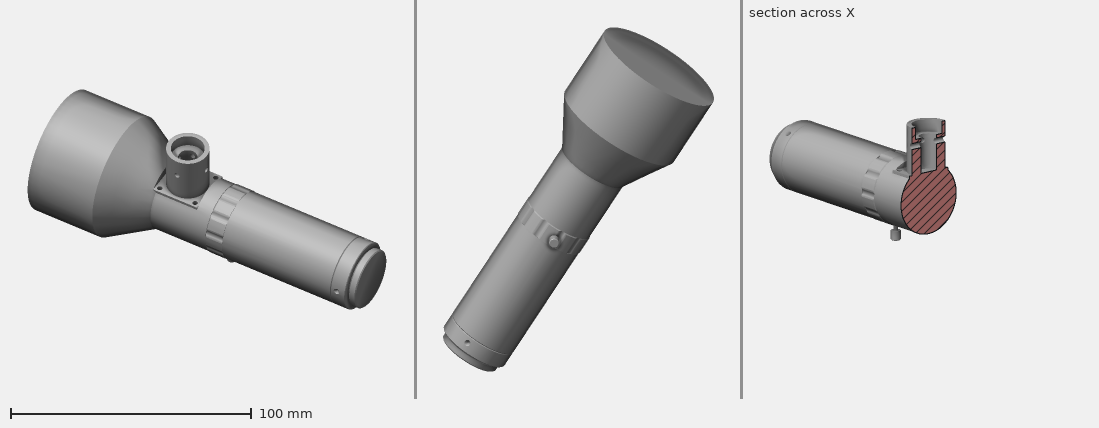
import cadquery as cq
import math

total_length = 149.4
total_height = 59.5

head_radius = 27.0
head_length = 31.1
cone_end = 52.0
tube_radius = 15.0

ring_start = 78.5
ring_width = 8.0
ring_end = ring_start + ring_width
ring_radius = 15.2
ring_chamfer = 0.5
flute_count = 11
flute_depth = 0.67
flute_radius = 2.0
flute_edge_fillet = 1.5
first_flute_angle = 15.6

cap_start = 138.6
cap_end = 145.5
cap_chamfer = 0.3
neck_radius = 12.0
neck_end = 146.4
eyepiece_radius = 13.0
eyepiece_chamfer = 0.5

set_screw_count = 3
set_screw_x = 141.5
set_screw_diameter = 2.7
set_screw_depth = 1.3
first_set_screw_angle = 7.5

seat_x = 61.3
seat_side = 21.0
seat_top = 12.0
seat_thickness = 2.2
seat_hole_spacing = 17.0
seat_hole_diameter = 2.2
seat_hole_depth = 3.0

post_top = total_height - head_radius
post_diameter = 18.1
socket_diameter = 14.0
socket_depth = 5.2
bore_diameter = 8.0
pin_hole_diameter = 2.4
pin_hole_drop = 8.0

thumb_x = ring_start + ring_width / 2
stem_diameter = 2.0
thumb_head_top = -18.2
thumb_head_diameter = 4.2
thumb_head_height = 4.2
thumb_head_chamfer = 0.3


def make_turned_body():
    """Revolve the half outline, leaving a gap in the skin for the grip ring."""
    core_radius = ring_radius - 2 * flute_depth
    outline = [
        (0, 0),
        (0, head_radius),
        (head_length, head_radius),
        (cone_end, tube_radius),
        (ring_start, tube_radius),
        (ring_start, core_radius),
        (ring_end, core_radius),
        (ring_end, tube_radius),
        (cap_start - cap_chamfer, tube_radius),
        (cap_start, tube_radius - cap_chamfer),
        (cap_start + cap_chamfer, tube_radius),
        (cap_end - cap_chamfer, tube_radius),
        (cap_end, tube_radius - cap_chamfer),
        (cap_end, neck_radius),
        (neck_end, neck_radius),
        (neck_end, eyepiece_radius),
        (total_length - eyepiece_chamfer, eyepiece_radius),
        (total_length, eyepiece_radius - eyepiece_chamfer),
        (total_length, 0),
    ]
    return cq.Workplane("XY").polyline(outline).close().revolve(360, (0, 0, 0), (1, 0, 0))


def radial_point(angle, radius):
    """Y and Z of a point around the X axis, with the angle measured from -Y toward +Z."""
    turn = math.radians(angle)
    return -radius * math.cos(turn), radius * math.sin(turn)


def make_grip_ring():
    """Flute a plain ring, round the flute edges and bevel the side toward the head."""
    flute_center_radius = ring_radius - flute_depth + flute_radius
    flute_centers = [
        radial_point(first_flute_angle + i * 360 / flute_count, flute_center_radius)
        for i in range(flute_count)
    ]
    side = cq.Workplane("YZ", origin=(ring_start, 0, 0))
    blank = side.circle(ring_radius).extrude(ring_width)
    flutes = side.pushPoints(flute_centers).circle(flute_radius).extrude(ring_width)
    ring = blank.cut(flutes).edges("|X").fillet(flute_edge_fillet)
    bevel = (
        cq.Workplane("XY")
        .polyline([
            (ring_start, 0),
            (ring_start, ring_radius - ring_chamfer),
            (ring_start + ring_chamfer, ring_radius),
            (ring_end, ring_radius),
            (ring_end, 0),
        ])
        .close()
        .revolve(360, (0, 0, 0), (1, 0, 0))
    )
    return ring.intersect(bevel)


def cut_set_screw_dimples(body):
    """Cut cones pointing at the tube axis, evenly spaced around the cap."""
    for i in range(set_screw_count):
        angle = first_set_screw_angle + i * 360 / set_screw_count
        y, z = radial_point(angle, tube_radius)
        dimple = cq.Solid.makeCone(
            set_screw_diameter / 2,
            0,
            set_screw_depth,
            cq.Vector(set_screw_x, y, z),
            cq.Vector(0, -y, -z),
        )
        body = body.cut(cq.Workplane(dimple))
    return body


def add_seat(body):
    """Clear the square above the seat, fill it to a flat plate and drill its corners."""
    top_plane = cq.Workplane("XY", origin=(seat_x, 0, seat_top))
    clearance = top_plane.rect(seat_side, seat_side).extrude(head_radius)
    plate = top_plane.rect(seat_side, seat_side).extrude(-seat_thickness)
    corner_holes = (
        top_plane.rect(seat_hole_spacing, seat_hole_spacing, forConstruction=True)
        .vertices()
        .circle(seat_hole_diameter / 2)
        .extrude(-seat_hole_depth)
    )
    return body.cut(clearance).union(plate).cut(corner_holes)


def make_post():
    """Counterbored post with cross pin holes along X and Y."""
    post = (
        cq.Workplane("XY", origin=(seat_x, 0, seat_top))
        .circle(post_diameter / 2)
        .extrude(post_top - seat_top)
        .faces(">Z")
        .workplane()
        .cboreHole(bore_diameter, socket_diameter, socket_depth)
    )
    pin_z = post_top - pin_hole_drop
    for plane in ("XZ", "YZ"):
        pin_hole = (
            cq.Workplane(plane, origin=(seat_x, 0, pin_z))
            .circle(pin_hole_diameter / 2)
            .extrude(post_diameter, both=True)
        )
        post = post.cut(pin_hole)
    return post


def make_thumb_screw():
    """Round head on a stem that reaches up to the tube axis."""
    axis_plane = cq.Workplane("XY", origin=(thumb_x, 0, thumb_head_top))
    stem = axis_plane.circle(stem_diameter / 2).extrude(-thumb_head_top)
    head = (
        axis_plane.circle(thumb_head_diameter / 2)
        .extrude(-thumb_head_height)
        .faces("<Z")
        .chamfer(thumb_head_chamfer)
    )
    return stem.union(head)


body = make_turned_body().union(make_grip_ring())
body = cut_set_screw_dimples(body)
body = add_seat(body)
result = body.union(make_post()).union(make_thumb_screw())